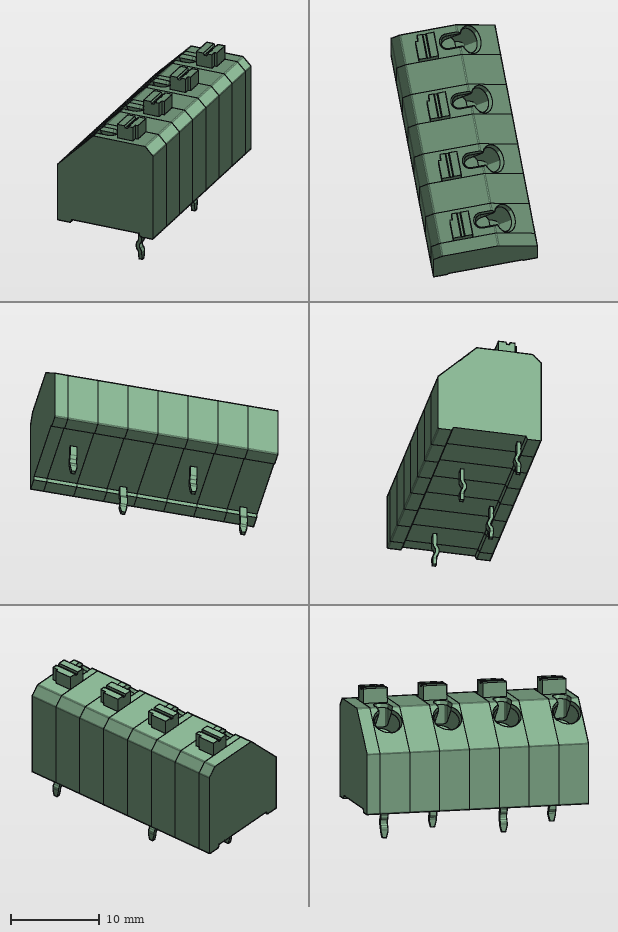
import cadquery as cq
import math


row_length = 26.0
end_plate_thickness = 1.5
clamp_count = 4
slice_count = 2 * clamp_count - 1
slice_thickness = (row_length - end_plate_thickness) / slice_count
slice_middle = slice_thickness / 2

width = 12.0
height = 11.5
entry_slope_size = 4.5
back_chamfer = 1.01
top_edge_radius = 0.2
side_edge_radius = 0.13
foot_bottom_width = 1.6
foot_top_width = 1.8
foot_height = 0.4

flare_width = 0.18
flare_depth = 0.45
flare_angle = math.degrees(math.atan2(flare_width, flare_depth))

entry_radius = 1.45
entry_depth = 3.65
entry_x = 3.15
entry_z = height - entry_slope_size + entry_x
toward_slope = cq.Vector(-1, 0, 1).normalized()
down_slope = cq.Vector(-1, 0, -1).normalized()
along_row = cq.Vector(0, 1, 0)

lower_wedge_distance = 1.22
lower_wedge_angle = 79.0
side_wedge_distance = 0.57
side_wedge_angle = 54.5

relief_half_width = 0.73
relief_end_x = 6.55
relief_depth = 2.85

button_x = 7.18
button_width = 2.25
button_length = 2.78
button_height = 1.7
button_notch_width = 0.3
button_notch_length = 0.68
groove_top_width = 0.5
groove_bottom_width = 0.29
groove_depth = 0.25

total_height = 16.8
front_pin_x = 4.73
pin_spacing = 5.0
pin_thickness = 0.42
pin_width = 0.8
pin_tip_width = 0.45
pin_tip_length = 0.73
pin_bottom_z = height + button_height - total_height

kink_angle = math.radians(38.0)
kink_center_z = -1.87
bend_radius = 0.6
peak_radius = 0.75


def housing_slice(thickness):
    """Plain housing section reaching from Y = 0 to Y = thickness."""
    body = (
        cq.Workplane("XZ")
        .lineTo(0, height - entry_slope_size)
        .lineTo(entry_slope_size, height)
        .lineTo(width - back_chamfer, height)
        .lineTo(width, height - back_chamfer)
        .lineTo(width, 0)
        .lineTo(width - foot_bottom_width, 0)
        .lineTo(width - foot_top_width, foot_height)
        .lineTo(foot_top_width, foot_height)
        .lineTo(foot_bottom_width, 0)
        .close()
        .extrude(-thickness)
    )
    body = body.faces(">Z").edges("|Y").fillet(top_edge_radius)
    return body.faces("<X or >X").edges("|Y").fillet(side_edge_radius)


def guide_wedge(outward, floor_distance, floor_angle):
    """Wedge standing on the bore floor and rising along the outward direction."""
    floor_center = cq.Vector(entry_x, slice_middle, entry_z) - toward_slope * entry_depth
    section = cq.Plane(origin=floor_center, xDir=outward, normal=outward.cross(toward_slope))
    reach = 2 * entry_radius
    rise = (reach - floor_distance) * math.tan(math.radians(floor_angle))
    return (
        cq.Workplane(section)
        .moveTo(floor_distance, 0)
        .lineTo(reach, 0)
        .lineTo(reach, rise)
        .close()
        .extrude(reach, both=True)
    )


def wire_entry():
    """Cutter for the flared bore, with the guide wedges left standing at its bottom."""
    mouth_plane = cq.Plane(
        origin=(entry_x, slice_middle, entry_z), xDir=along_row, normal=toward_slope
    )
    bore = cq.Workplane(mouth_plane).circle(entry_radius).extrude(-entry_depth)
    bore = bore.cut(guide_wedge(down_slope, lower_wedge_distance, lower_wedge_angle))
    bore = bore.cut(guide_wedge(along_row, side_wedge_distance, side_wedge_angle))
    mouth_radius = entry_radius + flare_width
    flare = cq.Workplane(mouth_plane).circle(mouth_radius).extrude(-flare_depth, taper=flare_angle)
    return bore.union(flare)


def relief_outline(half_width):
    """Round-ended slot outline in the top plane, open on the wire side."""
    bend_x = relief_end_x - relief_half_width
    return (
        cq.Workplane("XY", origin=(0, slice_middle, height))
        .moveTo(entry_x, -half_width)
        .lineTo(bend_x, -half_width)
        .threePointArc((bend_x + half_width, 0), (bend_x, half_width))
        .lineTo(entry_x, half_width)
        .close()
    )


def relief_slot():
    """Cutter for the relief slot, flared at the top."""
    slot = relief_outline(relief_half_width).extrude(-relief_depth)
    mouth = relief_outline(relief_half_width + flare_width)
    return slot.union(mouth.extrude(-flare_depth, taper=flare_angle))


def release_button():
    """Grooved button with one notched corner, flush with the +Y face of its module."""
    button_back = button_x + button_width
    button_start = slice_thickness - button_length
    block = (
        cq.Workplane("XY", origin=(0, 0, height))
        .moveTo(button_x, button_start)
        .lineTo(button_back - button_notch_width, button_start)
        .lineTo(button_back - button_notch_width, button_start + button_notch_length)
        .lineTo(button_back, button_start + button_notch_length)
        .lineTo(button_back, slice_thickness)
        .lineTo(button_x, slice_thickness)
        .close()
        .extrude(button_height)
    )
    groove = (
        cq.Workplane("XZ", origin=(button_x + button_width / 2, 0, height + button_height))
        .moveTo(-groove_top_width / 2, 0)
        .lineTo(groove_top_width / 2, 0)
        .lineTo(groove_bottom_width / 2, -groove_depth)
        .lineTo(-groove_bottom_width / 2, -groove_depth)
        .close()
        .extrude(-slice_thickness)
    )
    return block.cut(groove)


def solder_pin(center_x, kink_direction):
    """Kinked strip with a tapered tip; kink_direction is 1 toward +X and -1 toward -X."""
    half_kink = (bend_radius + peak_radius) * math.sin(kink_angle)
    half_peak = peak_radius * math.sin(kink_angle)
    peak_x = center_x + kink_direction * bend_radius * (1 - math.cos(kink_angle))
    path = (
        cq.Workplane("XZ", origin=(0, slice_middle, 0))
        .moveTo(center_x, foot_height)
        .lineTo(center_x, kink_center_z + half_kink)
        .tangentArcPoint((peak_x, kink_center_z + half_peak), relative=False)
        .tangentArcPoint((peak_x, kink_center_z - half_peak), relative=False)
        .tangentArcPoint((center_x, kink_center_z - half_kink), relative=False)
        .lineTo(center_x, pin_bottom_z)
    )
    strip = (
        cq.Workplane("XY", origin=(center_x, slice_middle, foot_height))
        .rect(pin_thickness, pin_width)
        .sweep(path)
    )
    silhouette = (
        cq.Workplane("YZ", origin=(0, slice_middle, 0))
        .moveTo(-pin_width / 2, foot_height)
        .lineTo(-pin_width / 2, pin_bottom_z + pin_tip_length)
        .lineTo(-pin_tip_width / 2, pin_bottom_z)
        .lineTo(pin_tip_width / 2, pin_bottom_z)
        .lineTo(pin_width / 2, pin_bottom_z + pin_tip_length)
        .lineTo(pin_width / 2, foot_height)
        .close()
        .extrude(width)
    )
    return strip.intersect(silhouette)


def clamp_module(pin):
    """Housing section with wire entry, relief slot, release button and one solder pin."""
    housing = housing_slice(slice_thickness).cut(wire_entry()).cut(relief_slot())
    return housing.union(release_button()).union(pin)


back_pin_module = clamp_module(solder_pin(front_pin_x + pin_spacing, -1))
front_pin_module = clamp_module(solder_pin(front_pin_x, 1))
spacer = housing_slice(slice_thickness)
end_plate = housing_slice(end_plate_thickness).translate((0, slice_count * slice_thickness, 0))

repeating_slices = [back_pin_module, spacer, front_pin_module, spacer]
bodies = [end_plate.val()]
for i in range(slice_count):
    kind = repeating_slices[i % len(repeating_slices)]
    bodies.append(kind.translate((0, i * slice_thickness, 0)).val())

result = cq.Compound.makeCompound(bodies)